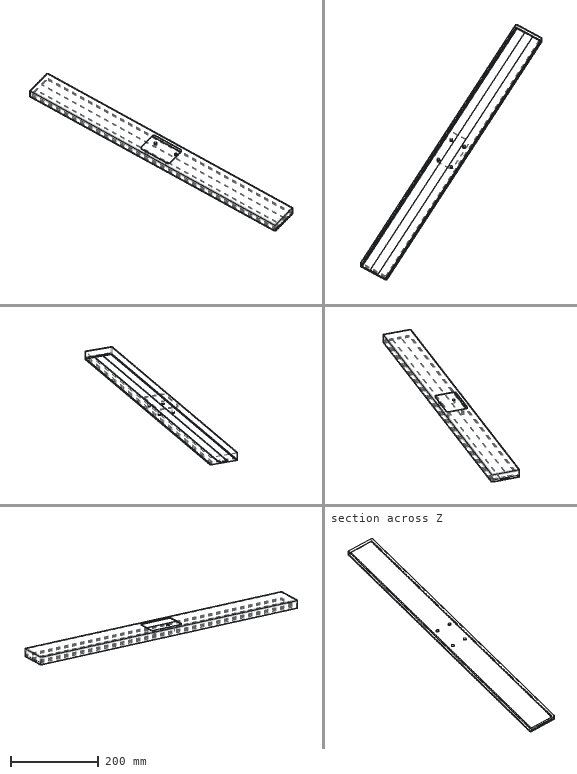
import cadquery as cq

LENGTH = 700.0
WIDTH = 70.0
WALL = 2.0
EDGE_RADIUS = 3.0
CAVITY_CORNER_RADIUS = 1.5

WINDOW_LENGTH = 82.0
WINDOW_WIDTH = 52.0
WINDOW_CORNER_RADIUS = 5.0

PLATE_THICKNESS = 6.0
PLATE_CHAMFER = 2.0
PLATE_END_GAP = 0.5
PLATE_SIDE_GAP = 1.95
HEADROOM = 12.0
GROOVE_WIDTH = 21.0
GROOVE_DEPTH = 2.0
HOLE_DIAMETER = 6.5
HOLE_SPACING_X = 58.0
HOLE_SPACING_Y = 34.0

CAVITY_LENGTH = LENGTH - 2 * WALL
CAVITY_WIDTH = WIDTH - 2 * WALL
CAVITY_HEIGHT = PLATE_THICKNESS + HEADROOM
HEIGHT = CAVITY_HEIGHT + WALL
PLATE_LENGTH = CAVITY_LENGTH - 2 * PLATE_END_GAP
PLATE_WIDTH = CAVITY_WIDTH - 2 * PLATE_SIDE_GAP


def block(length, width, height, bottom=0.0):
    """Box centred on the Z axis, standing on the height `bottom`."""
    base = cq.Workplane("XY").workplane(offset=bottom)
    return base.box(length, width, height, centered=(True, True, False))


def rounded_block(length, width, height, corner_radius, bottom=0.0):
    """Block with rounded vertical edges."""
    return block(length, width, height, bottom).edges("|Z").fillet(corner_radius)


def make_housing():
    """Rounded shell with a window in its roof."""
    outside = rounded_block(LENGTH, WIDTH, HEIGHT, EDGE_RADIUS)
    outside = outside.faces(">Z").edges().fillet(EDGE_RADIUS)
    cavity = rounded_block(CAVITY_LENGTH, CAVITY_WIDTH, CAVITY_HEIGHT, CAVITY_CORNER_RADIUS)
    window = rounded_block(WINDOW_LENGTH, WINDOW_WIDTH, WALL, WINDOW_CORNER_RADIUS, CAVITY_HEIGHT)
    return outside.cut(cavity).cut(window)


def make_plate():
    """Plate with chamfered top edges, a lengthwise groove underneath and four mounting holes."""
    plate = block(PLATE_LENGTH, PLATE_WIDTH, PLATE_THICKNESS)
    plate = plate.faces(">Z").edges().chamfer(PLATE_CHAMFER)
    plate = plate.cut(block(PLATE_LENGTH, GROOVE_WIDTH, GROOVE_DEPTH))
    hole_layout = plate.faces(">Z").workplane().rect(HOLE_SPACING_X, HOLE_SPACING_Y, forConstruction=True)
    return hole_layout.vertices().hole(HOLE_DIAMETER)


housing = make_housing()
plate = make_plate()

result = cq.Compound.makeCompound([housing.val(), plate.val()])